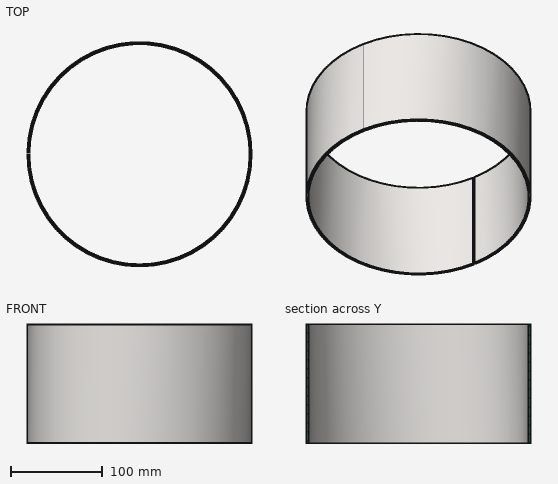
import cadquery as cq
import math

outer_diameter = 245.0
wall_thickness = 2.5
height = 130.0
gap_angle = 1.0
outer_rim_chamfer = 0.5
inner_rim_chamfer = 0.2

outer_radius = outer_diameter / 2
inner_radius = outer_radius - wall_thickness


def make_sleeve():
    """Thin-walled cylinder standing on the XY plane, chamfered at all four rims."""
    outer_cylinder = cq.Workplane("XY").circle(outer_radius).extrude(height)
    outer_cylinder = outer_cylinder.edges("%CIRCLE").chamfer(outer_rim_chamfer)
    bore = cq.Workplane("XY").circle(inner_radius).extrude(height)
    bore_rims = cq.selectors.RadiusNthSelector(0)
    return outer_cylinder.cut(bore).edges(bore_rims).chamfer(inner_rim_chamfer)


def make_gap_cutter():
    """Full-height wedge from the axis through the -X wall, opening on the +Y side of the XZ plane."""
    reach = outer_diameter
    wedge_width = reach * math.tan(math.radians(gap_angle))
    wedge = cq.Workplane("XY").polyline([(0, 0), (-reach, 0), (-reach, wedge_width)]).close()
    return wedge.extrude(height)


result = make_sleeve().cut(make_gap_cutter())